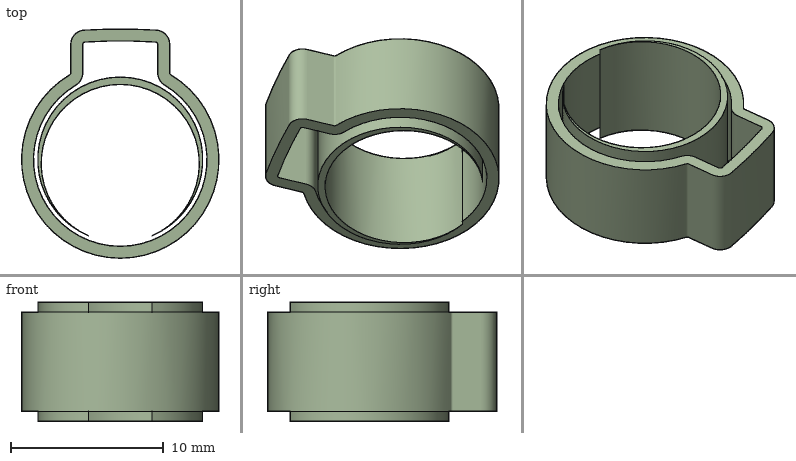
import cadquery as cq
import math

overall_width = 12.9
band_wall = 0.8
band_height = 6.48
overall_length = 14.99
ear_half_width = 3.24
ear_crown_radius = 37.48
bend_radius = 0.15

spacer_radius = 5.4
spacer_height = 7.8
spacer_back_wall = 0.5
bore_offset = 0.25
gap_half_width = 2.07

band_radius = overall_width / 2
band_bore_radius = band_radius - band_wall
outer_bend_radius = bend_radius + band_wall
ear_end = overall_length - band_radius
spacer_bore_radius = spacer_radius - spacer_back_wall + bore_offset


def eared_disc(radius, half_width, end, crown_radius, corner_radius, root_radius):
    """Extrude a disc joined to a crowned ear, with rounded ear corners and roots."""
    corner_y = end - crown_radius + math.sqrt(crown_radius**2 - half_width**2)
    root_y = math.sqrt(radius**2 - half_width**2)
    root_zone = cq.selectors.BoxSelector(
        (-radius, root_y - bend_radius, -band_height),
        (radius, root_y + bend_radius, band_height),
    )
    return (
        cq.Workplane("XY")
        .workplane(offset=-band_height / 2)
        .moveTo(half_width, root_y)
        .lineTo(half_width, corner_y)
        .threePointArc((0, end), (-half_width, corner_y))
        .lineTo(-half_width, root_y)
        .threePointArc((0, -radius), (half_width, root_y))
        .close()
        .extrude(band_height)
        .edges("|Z")
        .edges(">Y")
        .fillet(corner_radius)
        .edges(root_zone)
        .edges("|Z")
        .fillet(root_radius)
    )


def make_band():
    outside = eared_disc(
        band_radius, ear_half_width, ear_end, ear_crown_radius,
        outer_bend_radius, bend_radius,
    )
    inside = eared_disc(
        band_bore_radius, ear_half_width - band_wall, ear_end - band_wall,
        ear_crown_radius - band_wall, bend_radius, outer_bend_radius,
    )
    return outside.cut(inside)


def make_spacer():
    base = cq.Workplane("XY").workplane(offset=-spacer_height / 2)
    body = base.circle(spacer_radius).extrude(spacer_height)
    bore = base.center(0, -bore_offset).circle(spacer_bore_radius).extrude(spacer_height)
    gap = (
        base.center(0, -spacer_radius)
        .rect(2 * gap_half_width, spacer_radius)
        .extrude(spacer_height)
    )
    return body.cut(bore).cut(gap)


band = make_band()
spacer = make_spacer()

result = cq.Compound.makeCompound([band.solids().val(), spacer.solids().val()])